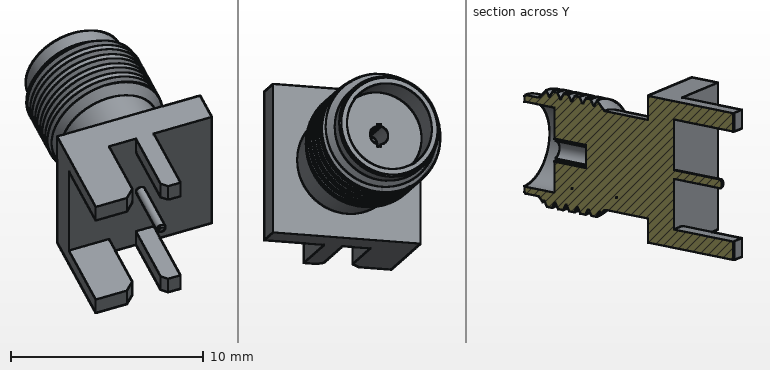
import cadquery as cq
import math


TOTAL_LENGTH = 13.3
THREAD_START = 0.92
THREAD_END = 5.11
FLANGE_FRONT = 7.85
FLANGE_BACK = 9.51
PIN_END = 12.53

BARREL_RADIUS = 2.7
THREAD_RADIUS = 3.18
THREAD_ROOT_RADIUS = 2.85
THREAD_PITCH = 0.7
THREAD_HALF_ANGLE = math.radians(30)
GROOVE_START = 0.55
GROOVE_TURNS = 7
GROOVE_OVERCUT = 0.08
RIM_CHAMFER = 0.09

SOCKET_RADIUS = 2.3
SOCKET_DEPTH = 1.9
CONTACT_RADIUS = 0.61
CONTACT_HOLE_RADIUS = 0.49
CONTACT_HOLE_DEPTH = 2.0
CONTACT_SLOT_WIDTH = 0.21

FLANGE_SIDE = 8.0
LEG_THICKNESS = 1.02
WIDE_LEG_INNER_Y = -1.75
WIDE_LEG_CHAMFER = 0.5
NARROW_LEG_Y = (-0.25, 0.75)
NARROW_LEG_CHAMFER = 0.3
PIN_RADIUS = 0.25
PIN_CHAMFER = 0.09


def cylinder(x_start, x_end, radius):
    """Solid cylinder on the X axis."""
    disc = cq.Workplane("YZ", origin=(x_start, 0, 0)).circle(radius)
    return disc.extrude(x_end - x_start)


def make_barrel():
    """Barrel with a raised thread band that has 45 degree ends."""
    band_rise = THREAD_RADIUS - BARREL_RADIUS
    return (
        cq.Workplane("XY")
        .lineTo(0, BARREL_RADIUS - RIM_CHAMFER)
        .lineTo(RIM_CHAMFER, BARREL_RADIUS)
        .lineTo(THREAD_START, BARREL_RADIUS)
        .lineTo(THREAD_START + band_rise, THREAD_RADIUS)
        .lineTo(THREAD_END - band_rise, THREAD_RADIUS)
        .lineTo(THREAD_END, BARREL_RADIUS)
        .lineTo(FLANGE_FRONT, BARREL_RADIUS)
        .lineTo(FLANGE_FRONT, 0)
        .close()
        .revolve(360, (0, 0, 0), (1, 0, 0))
    )


def make_groove_turn():
    """One right-handed turn of the V groove, starting at X = 0 below the axis."""
    outer_radius = THREAD_RADIUS + GROOVE_OVERCUT
    half_width = (outer_radius - THREAD_ROOT_RADIUS) * math.tan(THREAD_HALF_ANGLE)
    helix = cq.Wire.makeHelix(THREAD_PITCH, THREAD_PITCH, THREAD_ROOT_RADIUS)
    turn = (
        cq.Workplane("XZ")
        .moveTo(THREAD_ROOT_RADIUS, 0)
        .lineTo(outer_radius, half_width)
        .lineTo(outer_radius, -half_width)
        .close()
        .sweep(cq.Workplane(helix), isFrenet=True)
    )
    return turn.rotate((0, 0, 0), (0, 1, 0), 90)


def cut_thread(barrel):
    """Cut the groove turn by turn so that it runs out through both ends of the band."""
    groove_turn = make_groove_turn()
    for turn in range(GROOVE_TURNS):
        barrel = barrel.cut(groove_turn.translate((GROOVE_START + turn * THREAD_PITCH, 0, 0)))
    return barrel


def make_contact_opening():
    """Contact hole with a slot through its wall at the top and at the bottom."""
    opening_end = SOCKET_DEPTH + CONTACT_HOLE_DEPTH
    slots = cq.Workplane("YZ", origin=(SOCKET_DEPTH, 0, 0)).rect(CONTACT_SLOT_WIDTH, 2 * CONTACT_RADIUS)
    slots = slots.extrude(CONTACT_HOLE_DEPTH)
    slots = slots.intersect(cylinder(SOCKET_DEPTH, opening_end, CONTACT_RADIUS))
    return cylinder(SOCKET_DEPTH, opening_end, CONTACT_HOLE_RADIUS).union(slots)


def make_leg(z_bottom, y_low, y_high, chamfer, chamfer_side):
    """Flat leg behind the flange with one chamfered corner at its free end."""
    leg = cq.Workplane("XY").box(
        TOTAL_LENGTH - FLANGE_FRONT, y_high - y_low, LEG_THICKNESS, centered=False
    )
    leg = leg.translate((FLANGE_FRONT, y_low, z_bottom))
    return leg.edges(f"|Z and >X and {chamfer_side}").chamfer(chamfer)


def make_pin():
    """Round pin from the flange with a chamfered tip."""
    return cylinder(FLANGE_FRONT, PIN_END, PIN_RADIUS).faces(">X").chamfer(PIN_CHAMFER)


flange = (
    cq.Workplane("YZ", origin=(FLANGE_FRONT, 0, 0))
    .rect(FLANGE_SIDE, FLANGE_SIDE)
    .extrude(FLANGE_BACK - FLANGE_FRONT)
)

result = cut_thread(make_barrel()).union(flange).union(make_pin())
for leg_bottom in (-FLANGE_SIDE / 2, FLANGE_SIDE / 2 - LEG_THICKNESS):
    wide_leg = make_leg(leg_bottom, -FLANGE_SIDE / 2, WIDE_LEG_INNER_Y, WIDE_LEG_CHAMFER, ">Y")
    narrow_leg = make_leg(leg_bottom, *NARROW_LEG_Y, NARROW_LEG_CHAMFER, "<Y")
    result = result.union(wide_leg).union(narrow_leg)

result = result.cut(cylinder(0, SOCKET_DEPTH, SOCKET_RADIUS)).cut(make_contact_opening())